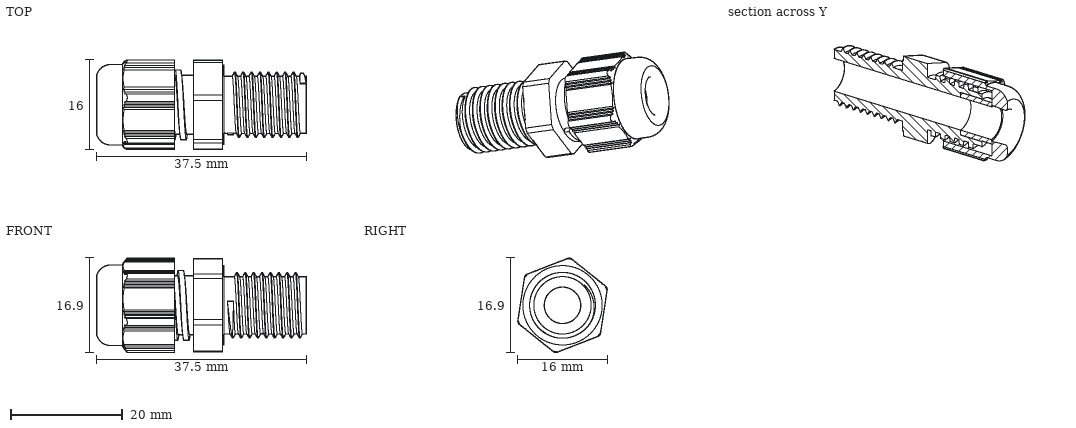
import cadquery as cq
import math


total_length = 37.5
across_flats = 15.0
hex_tilt = -8.75
passage_d = 6.5
sleeve_d = 8.45

nut_end = 13.95
dome_d = 14.48
dome_face_d = 10.75
dome_round_length = 2.5
grip_start = 4.58
grip_shoulder_d = 14.62
grip_chamfer_end = 5.48
grip_corner_round = 0.7
mouth_d = 6.82
mouth_round = 0.5
lip_end = 3.45
lip_inner_d = 7.2
nut_cavity_d = 12.98

grooves_per_side = 3
groove_start = 2.0
groove_width = 0.52
groove_depth = 0.35

neck_start = 5.48
neck_d = 10.6
hex_start = 17.3
hex_end = 22.55
hex_corner_across = 16.72
washer_face_d = 14.2
washer_face_end = 22.75
shank_d = 10.28
sleeve_end = 10.12

quarter_turn = 90
thread_root_sink = 0.1
points_per_turn = 24

clamp_pitch = 2.02
clamp_crest_d = 12.52
clamp_root_width = 1.2
clamp_crest_width = 0.98
clamp_phase_x = 15.05
clamp_start_angle = -4 * 360
clamp_end_angle = 2 * quarter_turn + 30

entry_pitch = 1.5
entry_crest_d = 11.78
entry_root_width = 1.1
entry_crest_width = 0.1
entry_phase_x = 23.6
entry_start_angle = quarter_turn - 8
entry_end_angle = 8 * 360 + 3 * quarter_turn + 43
entry_fade_angle = 75
entry_end_height = 0.2


def cylinder(diameter, start, end):
    return cq.Workplane("YZ").workplane(offset=start).circle(diameter / 2).extrude(end - start)


def hexagon(across, start, end, rotation):
    blank = cq.Workplane("YZ").workplane(offset=start).polygon(6, across, circumscribed=True)
    return blank.extrude(end - start).rotate((0, 0, 0), (1, 0, 0), rotation)


def revolved(profile):
    return profile.close().revolve(360, (0, 0, 0), (1, 0, 0))


def thread(pitch, phase_x, start_angle, end_angle, root_r, crest_r, root_width, crest_width,
           fade_angle=0, end_height=0.0):
    """Helical ridge of trapezoid section, lower and blunter within fade_angle of either end."""
    full_height = crest_r - root_r
    steps = math.ceil((end_angle - start_angle) / 360 * points_per_turn)
    angles = [start_angle + (end_angle - start_angle) * i / steps for i in range(steps + 1)]

    def section(angle):
        fullness = 1.0
        if fade_angle:
            from_end = min(angle - start_angle, end_angle - angle)
            fullness = min(1.0, from_end / fade_angle)
        height = end_height + (full_height - end_height) * fullness
        half_crest = (root_width + (crest_width - root_width) * fullness) / 2
        half_root = root_width / 2
        centre = phase_x + pitch * angle / 360
        turn = math.radians(angle)
        corners = [(-half_root, root_r), (-half_crest, root_r + height),
                   (half_crest, root_r + height), (half_root, root_r)]
        return [cq.Vector(centre + x, -r * math.sin(turn), r * math.cos(turn)) for x, r in corners]

    sections = [section(angle) for angle in angles]
    edges = [cq.Edge.makeSpline([s[k] for s in sections]) for k in range(4)]
    faces = [cq.Face.makeRuledSurface(edges[k], edges[(k + 1) % 4]) for k in range(4)]
    for end_section in (sections[0], sections[-1]):
        faces.append(cq.Face.makeFromWires(cq.Wire.makePolygon(end_section, close=True)))
    return cq.Workplane(cq.Solid.makeSolid(cq.Shell.makeShell(faces)))


def grip_grooves():
    """V grooves on both sides of every flat of the grip."""
    flat = across_flats / 2
    grooves = []
    for flat_index in range(6):
        for side in (-1, 1):
            for groove_index in range(grooves_per_side):
                near = groove_start + groove_index * groove_width
                outline = [
                    (flat, side * near),
                    (flat - groove_depth, side * (near + groove_width / 2)),
                    (flat, side * (near + groove_width)),
                ]
                groove = cq.Workplane("YZ").workplane(offset=grip_start).polyline(outline).close()
                groove = groove.extrude(nut_end - grip_start)
                grooves.append(groove.rotate((0, 0, 0), (1, 0, 0), hex_tilt + 60 * flat_index).val())
    return cq.Compound.makeCompound(grooves)


def make_grip():
    corner_r = across_flats / 2 / math.cos(math.pi / 6)
    rounded_corner_r = corner_r - grip_corner_round * (1 / math.cos(math.pi / 6) - 1)
    chamfered_blank = revolved(
        cq.Workplane("XY").moveTo(grip_start, 0).lineTo(grip_start, grip_shoulder_d / 2)
        .lineTo(grip_chamfer_end, rounded_corner_r).lineTo(grip_chamfer_end, corner_r)
        .lineTo(nut_end, corner_r).lineTo(nut_end, 0)
    )
    grip = hexagon(across_flats, grip_start, nut_end, hex_tilt)
    grip = grip.edges("|X").fillet(grip_corner_round)
    return grip.cut(cq.Workplane(grip_grooves())).intersect(chamfered_blank)


def make_nut():
    dome_r = dome_d / 2
    face_r = dome_face_d / 2
    drop = dome_r - face_r
    round_r = (dome_round_length ** 2 + drop ** 2) / (2 * drop)
    half_sweep = math.asin(dome_round_length / round_r) / 2
    arc_mid = (dome_round_length - round_r * math.sin(half_sweep),
               dome_r - round_r * (1 - math.cos(half_sweep)))
    dome = revolved(
        cq.Workplane("XY").lineTo(0, face_r)
        .threePointArc(arc_mid, (dome_round_length, dome_r))
        .lineTo(grip_start, dome_r).lineTo(grip_start, 0)
    )
    mouth_r = mouth_d / 2
    mouth_mid = mouth_round * math.sqrt(0.5)
    opening = revolved(
        cq.Workplane("XY").lineTo(0, mouth_r + mouth_round)
        .threePointArc((mouth_round - mouth_mid, mouth_r + mouth_round - mouth_mid), (mouth_round, mouth_r))
        .lineTo(lip_end, lip_inner_d / 2).lineTo(lip_end, nut_cavity_d / 2)
        .lineTo(nut_end, nut_cavity_d / 2).lineTo(nut_end, 0)
    )
    return dome.union(make_grip()).cut(opening)


def make_body():
    corner_cut = hexagon(hex_corner_across, hex_start, hex_end, hex_tilt + 30)
    body = hexagon(across_flats, hex_start, hex_end, hex_tilt).intersect(corner_cut)
    body = body.union(cylinder(washer_face_d, hex_end, washer_face_end))
    body = body.union(cylinder(neck_d, neck_start, hex_start))
    body = body.union(cylinder(shank_d, hex_end, total_length))
    body = body.union(thread(
        clamp_pitch, clamp_phase_x, clamp_start_angle, clamp_end_angle,
        neck_d / 2 - thread_root_sink, clamp_crest_d / 2, clamp_root_width, clamp_crest_width,
    ))
    body = body.union(thread(
        entry_pitch, entry_phase_x, entry_start_angle, entry_end_angle,
        shank_d / 2 - thread_root_sink, entry_crest_d / 2, entry_root_width, entry_crest_width,
        entry_fade_angle, entry_end_height + thread_root_sink,
    ))
    body = body.cut(cylinder(sleeve_d, neck_start, sleeve_end))
    return body.cut(cylinder(passage_d, neck_start, total_length))


def make_sleeve():
    return cylinder(sleeve_d, lip_end, sleeve_end).cut(cylinder(passage_d, lip_end, sleeve_end))


nut = make_nut()
body = make_body()
sleeve = make_sleeve()

result = cq.Compound.makeCompound([part.solids().val() for part in (nut, body, sleeve)])